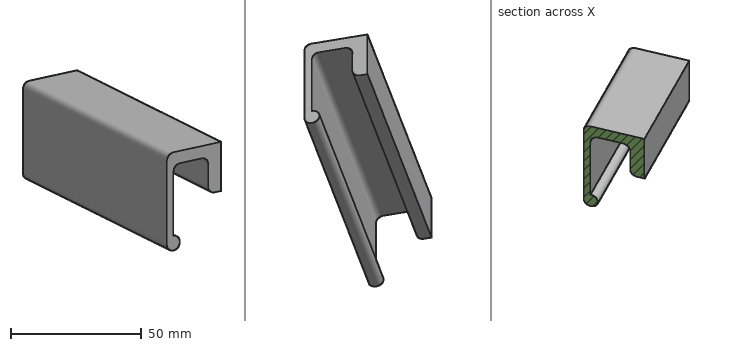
import cadquery as cq

length = 100.0
depth = 25.0
height = 40.0

top_thickness = 5.0
front_thickness = 3.0
back_thickness = 6.0
back_height = 20.0

bead_radius = 3.0
outer_radius = 3.0
channel_radius = 3.0
lip_radius = 3.0

channel_top = height - top_thickness
back_inner_y = depth - back_thickness
back_bottom = height - back_height


def hook_walls():
    """Front wall, top web and short back wall with their rounded edges."""
    walls = (
        cq.Workplane("YZ")
        .moveTo(0, bead_radius)
        .lineTo(0, height)
        .lineTo(depth, height)
        .lineTo(depth, back_bottom)
        .lineTo(back_inner_y, back_bottom)
        .lineTo(back_inner_y, channel_top)
        .lineTo(front_thickness, channel_top)
        .lineTo(front_thickness, bead_radius)
        .close()
        .extrude(length)
    )

    def round_edge(body, y, z, radius):
        edge = cq.selectors.NearestToPointSelector((length / 2, y, z))
        return body.edges(edge).fillet(radius)

    walls = round_edge(walls, 0, height, outer_radius)
    walls = round_edge(walls, back_inner_y, back_bottom, lip_radius)
    walls = round_edge(walls, back_inner_y, channel_top, channel_radius)
    return round_edge(walls, front_thickness, channel_top, channel_radius)


def bottom_bead():
    """Round bead along the lower edge, flush with the front face."""
    return cq.Workplane("YZ").center(bead_radius, bead_radius).circle(bead_radius).extrude(length)


result = hook_walls().union(bottom_bead())